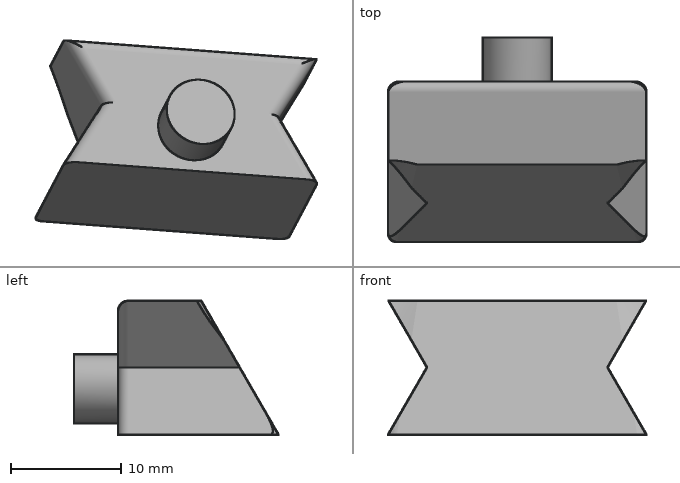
import cadquery as cq
import math

width = 23.5
height = 12.2
total_depth = 18.6
pin_length = 4.0
block_depth = total_depth - pin_length
slope_angle = math.radians(30)
front_setback = height * math.tan(slope_angle)

notch_height = 6.13
notch_depth = notch_height * math.tan(slope_angle)
half_width = width / 2
top_half_width = half_width - notch_depth + (height - notch_height) * math.tan(slope_angle)

pin_diameter = 6.3
pin_center_height = 4.18

back_radius = 1.0
corner_radius = 0.85
relief_width = 2.68
relief_depth = 0.4
cutter_margin = 1.17


def make_block():
    """Waisted prism with a sloped front and rounded back edges."""
    waist = half_width - notch_depth
    prism = (
        cq.Workplane("XZ")
        .polyline([
            (-half_width, 0),
            (half_width, 0),
            (waist, notch_height),
            (top_half_width, height),
            (-top_half_width, height),
            (-waist, notch_height),
        ])
        .close()
        .extrude(-block_depth)
    )
    prism = prism.faces(">Y").edges("not <Z").fillet(back_radius)
    front_wedge = (
        cq.Workplane("YZ")
        .polyline([(0, 0), (front_setback, height), (0, height)])
        .close()
        .extrude(half_width, both=True)
    )
    return prism.cut(front_wedge)


def corner_section(side_x, front_y, run_x, run_y, arc_middle):
    """Cutter outline at one level; its arc joins the side face to the front face."""
    outer_x = side_x - cutter_margin
    outer_y = front_y - cutter_margin
    return (
        (side_x, front_y + run_y),
        (side_x + arc_middle[0], front_y + arc_middle[1]),
        (side_x + run_x, front_y),
        (side_x + run_x, outer_y),
        (outer_x, outer_y),
        (outer_x, front_y + run_y),
    )


def make_corner_cutter():
    """Left front corner: convex round at the base, shallow hollow at the top."""
    round_offset = corner_radius * (1 - math.sqrt(0.5))
    base = corner_section(
        -half_width, 0, corner_radius, corner_radius, (round_offset, round_offset)
    )
    top = corner_section(
        -top_half_width, front_setback, relief_width, relief_depth,
        (relief_width / 2, relief_depth * 3 / 4),
    )
    cutter = cq.Workplane("XY")
    for level, points in ((0, base), (height, top)):
        start, middle, end, *outer = points
        cutter = (
            cutter.workplane(offset=level)
            .moveTo(*start)
            .threePointArc(middle, end)
        )
        for point in outer:
            cutter = cutter.lineTo(*point)
        cutter = cutter.close()
    return cutter.loft(ruled=True)


def make_pin():
    """Round pin standing out from the back face."""
    return (
        cq.Workplane("XZ", origin=(0, block_depth, pin_center_height))
        .circle(pin_diameter / 2)
        .extrude(-pin_length)
    )


corner_cutter = make_corner_cutter()
result = (
    make_block()
    .cut(corner_cutter)
    .cut(corner_cutter.mirror("YZ"))
    .union(make_pin())
)